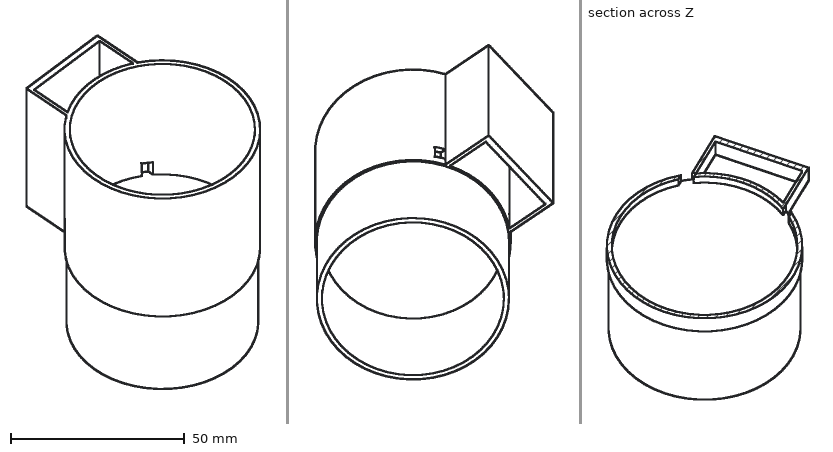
import cadquery as cq

height = 78.0
skirt_height = 30.0
sleeve_diameter = 56.3
sleeve_bore = 53.3
skirt_diameter = 55.3
skirt_bore = 52.3
floor_thickness = 3.05

channel_reach = 39.85
channel_length = 17.0
channel_width = 29.7
channel_side_wall = 1.2
channel_back_wall = 2.0

window_reach = 17.4
front_window_start = 13.8
back_window_start = 14.8
window_height = 5.0

sleeve_height = height - skirt_height
sleeve_radius = sleeve_diameter / 2
floor_top = skirt_height + floor_thickness


def cylinder(diameter, bottom, length):
    return cq.Workplane("XY").workplane(offset=bottom).circle(diameter / 2).extrude(length)


def block(x_start, x_length, y_width, bottom, z_height):
    """Box centred on Y, running from x_start toward +X."""
    return (
        cq.Workplane("XY")
        .box(x_length, y_width, z_height, centered=(False, True, False))
        .translate((x_start, 0, bottom))
    )


def make_cup():
    skirt = cylinder(skirt_diameter, 0, skirt_height)
    sleeve = cylinder(sleeve_diameter, skirt_height, sleeve_height)
    upper_cavity = cylinder(sleeve_bore, floor_top, height - floor_top)
    lower_cavity = cylinder(skirt_bore, 0, skirt_height)
    return skirt.union(sleeve).cut(upper_cavity).cut(lower_cavity)


def make_window(side, start):
    """Window on the -Y (side = -1) or +Y (side = 1) edge of the channel, level with the floor."""
    width = window_reach - start
    window = block(-sleeve_radius, sleeve_radius, width, floor_top, window_height)
    return window.translate((0, side * (start + width / 2), 0))


def make_channel():
    outer = block(-channel_reach, channel_length, channel_width, skirt_height, sleeve_height)
    opening = block(
        -channel_reach + channel_back_wall,
        channel_length - channel_back_wall,
        channel_width - 2 * channel_side_wall,
        skirt_height,
        sleeve_height,
    )
    sleeve_space = cylinder(sleeve_diameter, skirt_height, sleeve_height)
    return outer.cut(opening).cut(sleeve_space)


cup = make_cup()
for side, start in ((-1, front_window_start), (1, back_window_start)):
    cup = cup.cut(make_window(side, start))

result = cup.union(make_channel())